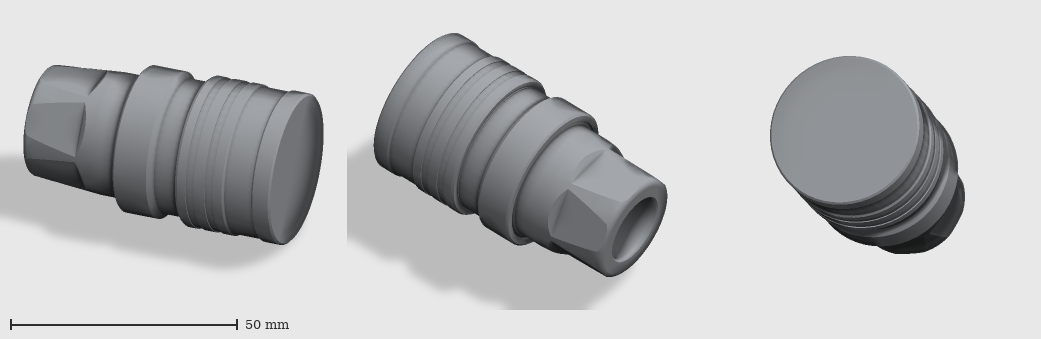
import cadquery as cq
import math

length = 60.2

neck_radius = 13.8
taper_end = 17.0
taper_angle = math.radians(4.7)
nose_fillet = 1.5

flat_count = 6
flat_apothem = 12.0
flat_end = 13.0
runout_height = 3.6

collar_start = 22.9
collar_radius = 16.55
collar_chamfer = 0.4
collar_rear = 30.9
recess_radius = 14.8
ring_radius = 14.5
ring_round = ring_radius - neck_radius
recess_depth = ring_round

waist_diameter = 30.4
waist_radius = waist_diameter / 2
lip_radius = 15.4
lip_start = 37.5

sleeve_start = 37.75
sleeve_diameter = 34.0
sleeve_radius = sleeve_diameter / 2
sleeve_chamfer_radius = 16.6
sleeve_chamfer_length = 0.6
sleeve_rear = 48.9
groove_start = 40.35
groove_width = 1.9
groove_pitch = 4.45
groove_count = 2
groove_depth = 0.25

relief_radius = 16.55
relief_step = sleeve_radius - relief_radius
flange_start = 55.7
end_chamfer = 0.4

bore_radius = 7.9
bore_depth = taper_end
bore_chamfer = 0.3


def make_body():
    """Revolve the outer profile, including the recess in the collar face."""
    taper = math.tan(taper_angle)
    nose_radius = neck_radius - taper_end * taper

    tangent_x = nose_fillet * (1 - math.sin(taper_angle))
    tangent_radius = nose_radius + tangent_x * taper
    fillet_center_radius = tangent_radius - nose_fillet * math.cos(taper_angle)
    mid_angle = (math.pi / 2 + taper_angle + math.pi) / 2
    fillet_mid = (
        nose_fillet * (1 + math.cos(mid_angle)),
        fillet_center_radius + nose_fillet * math.sin(mid_angle),
    )

    recess_floor = collar_start + recess_depth
    ring_mid = (
        collar_start + ring_round * (1 - math.sqrt(0.5)),
        neck_radius + ring_round * math.sqrt(0.5),
    )
    waist_start = collar_rear + collar_radius - waist_radius

    profile = (
        cq.Workplane("XY")
        .moveTo(0, 0)
        .lineTo(0, fillet_center_radius)
        .threePointArc(fillet_mid, (tangent_x, tangent_radius))
        .lineTo(taper_end, neck_radius)
        .lineTo(collar_start, neck_radius)
        .threePointArc(ring_mid, (recess_floor, ring_radius))
        .lineTo(recess_floor, recess_radius)
        .lineTo(collar_start, recess_radius)
        .lineTo(collar_start, collar_radius - collar_chamfer)
        .lineTo(collar_start + collar_chamfer, collar_radius)
        .lineTo(collar_rear, collar_radius)
        .lineTo(waist_start, waist_radius)
        .lineTo(lip_start, waist_radius)
        .lineTo(lip_start, lip_radius)
        .lineTo(sleeve_start, lip_radius)
        .lineTo(sleeve_start, sleeve_chamfer_radius)
        .lineTo(sleeve_start + sleeve_chamfer_length, sleeve_radius)
        .lineTo(sleeve_rear, sleeve_radius)
        .lineTo(sleeve_rear + relief_step, relief_radius)
        .lineTo(flange_start, relief_radius)
        .lineTo(flange_start + relief_step, sleeve_radius)
        .lineTo(length - end_chamfer, sleeve_radius)
        .lineTo(length, sleeve_radius - end_chamfer)
        .lineTo(length, 0)
        .close()
    )
    return profile.revolve(360, (0, 0, 0), (1, 0, 0))


def make_flat_cutter():
    """Prism above one wrench flat, ending in a 45 degree run-out."""
    top = flat_apothem + runout_height
    return (
        cq.Workplane("XZ")
        .moveTo(0, flat_apothem)
        .lineTo(flat_end, flat_apothem)
        .lineTo(flat_end + runout_height, top)
        .lineTo(0, top)
        .close()
        .extrude(neck_radius, both=True)
    )


def make_groove(start):
    """Ring that cuts one grip groove into the sleeve."""
    return (
        cq.Workplane("YZ", origin=(start, 0, 0))
        .circle(sleeve_radius + groove_depth)
        .circle(sleeve_radius - groove_depth)
        .extrude(groove_width)
    )


def make_bore():
    """Blind bore with a chamfered mouth."""
    return (
        cq.Workplane("XY")
        .moveTo(0, 0)
        .lineTo(0, bore_radius + bore_chamfer)
        .lineTo(bore_chamfer, bore_radius)
        .lineTo(bore_depth, bore_radius)
        .lineTo(bore_depth, 0)
        .close()
        .revolve(360, (0, 0, 0), (1, 0, 0))
    )


result = make_body().cut(make_bore())

flat_cutter = make_flat_cutter()
for i in range(flat_count):
    angle = i * 360 / flat_count
    result = result.cut(flat_cutter.rotate((0, 0, 0), (1, 0, 0), angle))

for i in range(groove_count):
    result = result.cut(make_groove(groove_start + i * groove_pitch))